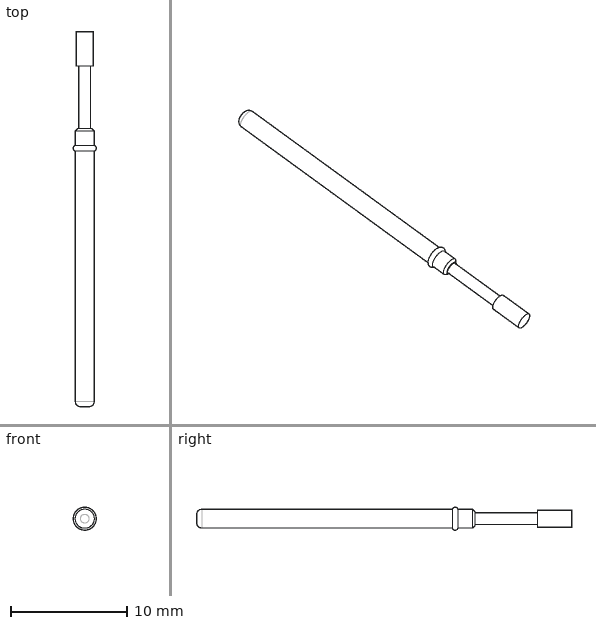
import cadquery as cq
import math

total_length = 32.3
barrel_diameter = 1.65
barrel_radius = barrel_diameter / 2
ring_radius = 1.0
shaft_radius = 0.52
head_radius = 0.75
head_length = 2.97

mouth_from_tip = 8.33
ring_from_tip = 10.05

barrel_end_round = 0.45
mouth_radius = 0.6
mouth_taper_length = 0.23
ring_bead_radius = 0.25

barrel_end = -total_length / 2
tip = total_length / 2
head_base = tip - head_length
mouth = tip - mouth_from_tip
ring_center = tip - ring_from_tip

bead_center_radius = ring_radius - ring_bead_radius
bead_half_width = math.sqrt(ring_bead_radius**2 - (barrel_radius - bead_center_radius) ** 2)

round_inset = barrel_end_round * (1 - math.sqrt(0.5))

profile = (
    cq.Workplane("XY")
    .moveTo(0, barrel_end)
    .lineTo(barrel_radius - barrel_end_round, barrel_end)
    .threePointArc(
        (barrel_radius - round_inset, barrel_end + round_inset),
        (barrel_radius, barrel_end + barrel_end_round),
    )
    .lineTo(barrel_radius, ring_center - bead_half_width)
    .threePointArc((ring_radius, ring_center), (barrel_radius, ring_center + bead_half_width))
    .lineTo(barrel_radius, mouth - mouth_taper_length)
    .lineTo(mouth_radius, mouth)
    .lineTo(shaft_radius, mouth)
    .lineTo(shaft_radius, head_base)
    .lineTo(head_radius, head_base)
    .lineTo(head_radius, tip)
    .lineTo(0, tip)
    .close()
)

result = profile.revolve(360, (0, 0, 0), (0, 1, 0))